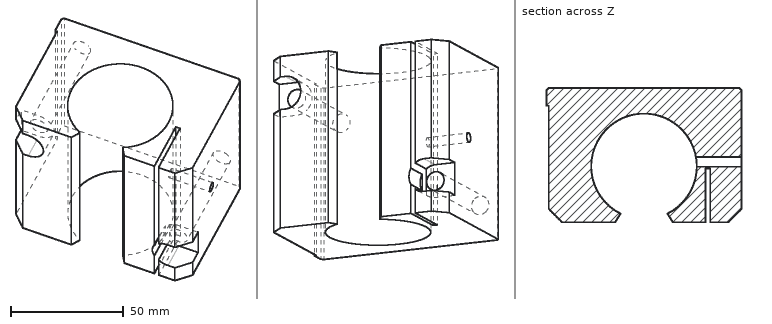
import cadquery as cq
import math

width = 87.0
height = 79.0
front_y = -25.0
back_y = 35.0
right_x = width / 2
left_x = -width / 2

front_chamfer = 6.0
back_chamfer = 1.0
ledge_step = 1.0
ledge_length = 8.0

bore_radius = 23.5
lip_half_gap = 10.4
mouth_half_gap = 12.9

slot_width = 2.0
slot_depth = 24.0
slot_x = 28.5

mount_x = 34.0
mount_z = 22.5
mount_hole_diameter = 8.5
counterbore_diameter = 15.0
counterbore_depth = 12.0

cross_hole_diameter = 4.2
cross_hole_y = 2.0


def make_block():
    """Extrude the chamfered outline with the ledge at its back left corner."""
    side_x = left_x + ledge_step
    ledge_y = back_y - ledge_length
    outline = [
        (side_x + front_chamfer, front_y),
        (right_x - front_chamfer, front_y),
        (right_x, front_y + front_chamfer),
        (right_x, back_y - back_chamfer),
        (right_x - back_chamfer, back_y),
        (left_x + back_chamfer, back_y),
        (left_x, back_y - back_chamfer),
        (left_x, ledge_y),
        (side_x, ledge_y),
        (side_x, front_y + front_chamfer),
    ]
    return cq.Workplane("XY").polyline(outline).close().extrude(height / 2, both=True)


def make_bore():
    """Full-height bore joined to the flared mouth in the front face."""
    lip_y = -math.sqrt(bore_radius**2 - lip_half_gap**2)
    return (
        cq.Workplane("XY")
        .moveTo(-mouth_half_gap, front_y)
        .lineTo(-lip_half_gap, lip_y)
        .threePointArc((0, bore_radius), (lip_half_gap, lip_y))
        .lineTo(mouth_half_gap, front_y)
        .close()
        .extrude(height / 2, both=True)
    )


def make_slot():
    """Full-height clamping slot cut back from the front face."""
    return (
        cq.Workplane("XY")
        .center(slot_x, front_y + slot_depth / 2)
        .rect(slot_width, slot_depth)
        .extrude(height / 2, both=True)
    )


def make_mounting_hole(side):
    """Through hole and side-open counterbore; side is -1 (left, high) or +1 (right, low)."""
    front = cq.Workplane("XZ", origin=(side * mount_x, front_y, -side * mount_z))
    opening_length = right_x - mount_x
    hole = front.circle(mount_hole_diameter / 2).extrude(front_y - back_y)
    counterbore = front.circle(counterbore_diameter / 2).extrude(-counterbore_depth)
    opening = (
        front.center(side * opening_length / 2, 0)
        .rect(opening_length, counterbore_diameter)
        .extrude(-counterbore_depth)
    )
    return hole.union(counterbore).union(opening)


def make_cross_hole():
    """Small hole at mid height, from the bore out through the right side."""
    return (
        cq.Workplane("YZ", origin=(0, cross_hole_y, 0))
        .circle(cross_hole_diameter / 2)
        .extrude(right_x)
    )


result = make_block().cut(make_bore()).cut(make_slot())
for side in (-1, 1):
    result = result.cut(make_mounting_hole(side))
result = result.cut(make_cross_hole())